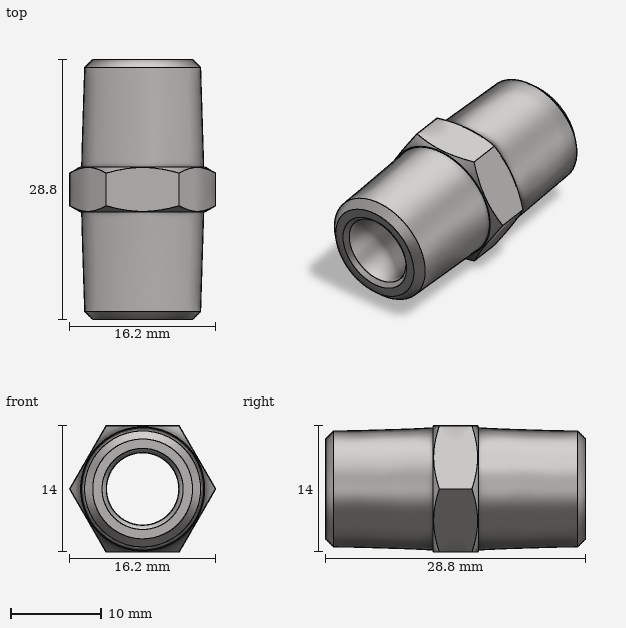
import cadquery as cq
import math

length = 28.8
hex_flats = 14.0
hex_width = 5.0
hex_chamfer_diameter = 13.75
hex_chamfer_angle = 30.0
end_diameter = 12.85
taper = 1 / 16
end_chamfer = 0.9
bore_diameter = 8.0
bore_mouth_diameter = 9.0

half_length = length / 2
half_hex = hex_width / 2
hex_corners = hex_flats / math.cos(math.radians(30))


def revolve_about_y(points):
    """Solid of revolution about Y from (radius, y) points."""
    return cq.Workplane("XY").polyline(points).close().revolve(360, (0, 0, 0), (0, 1, 0))


def mirrored_profile(upper_points):
    """Close a half profile, listed from the centre outwards, across y = 0."""
    lower_points = [(radius, -y) for radius, y in upper_points]
    return lower_points[::-1] + upper_points


def make_spigots():
    """Two tapered spigots, widest beside the hexagon, with chamfered ends."""
    end_radius = end_diameter / 2
    taper_end = half_length - end_chamfer
    root_radius = end_radius + (taper_end - half_hex) * taper / 2
    return revolve_about_y(mirrored_profile([
        (root_radius, half_hex),
        (end_radius, taper_end),
        (end_radius - end_chamfer, half_length),
        (0, half_length),
    ]))


def make_hexagon():
    """Wrench hexagon with corners on X, both faces turned to a chamfer cone."""
    prism = (
        cq.Workplane("XZ")
        .polygon(6, hex_corners)
        .extrude(half_hex, both=True)
    )
    face_radius = hex_chamfer_diameter / 2
    corner_radius = hex_corners / 2
    corner_drop = (corner_radius - face_radius) * math.tan(math.radians(hex_chamfer_angle))
    turned_blank = revolve_about_y(mirrored_profile([
        (corner_radius, half_hex - corner_drop),
        (face_radius, half_hex),
        (0, half_hex),
    ]))
    return prism.intersect(turned_blank)


def make_bore():
    """Through bore with a 45 degree chamfer at each mouth."""
    bore_radius = bore_diameter / 2
    mouth_radius = bore_mouth_diameter / 2
    mouth_depth = mouth_radius - bore_radius
    return revolve_about_y(mirrored_profile([
        (bore_radius, half_length - mouth_depth),
        (mouth_radius, half_length),
        (0, half_length),
    ]))


result = make_spigots().union(make_hexagon()).cut(make_bore())